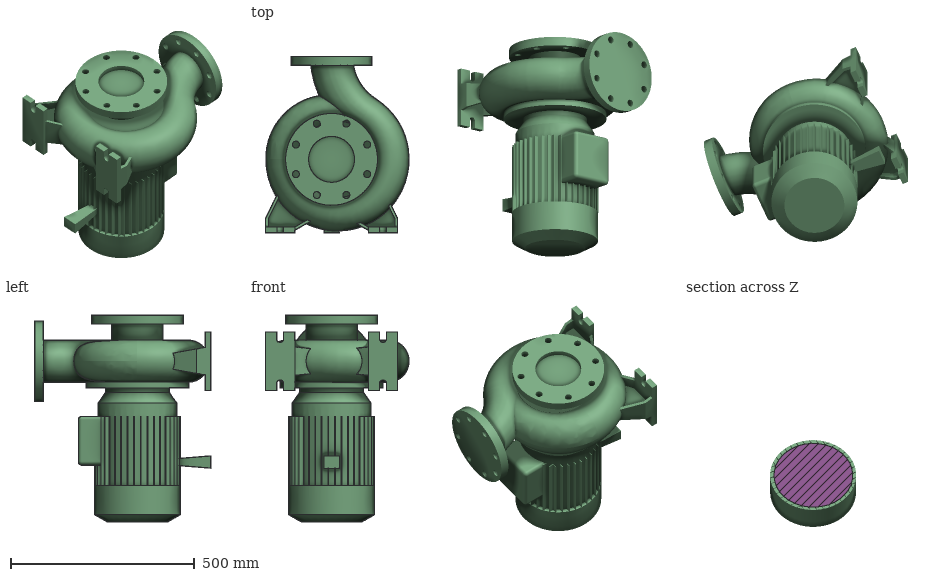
import math

import cadquery as cq


SUCTION_FACE_Z = 125.0
SUCTION_FLANGE_D = 250.0
SUCTION_FLANGE_T = 24.0
SUCTION_NECK_D = 140.0
SUCTION_BORE_D = 125.0
SUCTION_BORE_DEPTH = 15.0
SUCTION_BOLT_CIRCLE_D = 210.0

DISCHARGE_FACE_Y = 280.0
DISCHARGE_FLANGE_D = 220.0
DISCHARGE_FLANGE_T = 24.0
DISCHARGE_BOLT_CIRCLE_D = 180.0

BOLT_COUNT = 8
BOLT_HOLE_D = 19.0

DUCT_R = 57.5
VOLUTE_AXIS_X = 16.0
VOLUTE_BEND_R = 137.5
VOLUTE_WEB_R = 104.0
VOLUTE_WEB_TOP_Z = math.sqrt(DUCT_R**2 - (VOLUTE_BEND_R - VOLUTE_WEB_R) ** 2)

TAIL_START_BEND_R = VOLUTE_BEND_R - VOLUTE_AXIS_X
TAIL_END_BEND_R = 126.0
TAIL_END_DUCT_R = 46.0
TAIL_END_ANGLE = 65.0
TAIL_SECTIONS = 5

BACK_PLATE_R = 140.0
BACK_PLATE_TOP_Z = -56.5
BACK_PLATE_BOTTOM_Z = -72.5
LANTERN_R = 87.0
LANTERN_BOTTOM_Z = -85.0
MOTOR_CORE_R = 107.5
MOTOR_SHOULDER_Z = -114.5
MOTOR_R = 117.0
FIN_TOP_Z = -150.0
FIN_BOTTOM_Z = -339.0
COWL_CONE_Z = -418.0
MOTOR_END_R = 81.5
MOTOR_END_Z = -438.0

FIN_T = 2.0
FINS_PER_SIDE = 10
FIN_PITCH_ANGLE = 90.0 / FINS_PER_SIDE
FIN_ROOT_DEPTH = 3.0

BOX_WIDTH = 120.0
BOX_BACK_Y = 161.0
BOX_TOP_Z = FIN_TOP_Z
BOX_HEIGHT = 133.5
BOX_EDGE_R = 10.0

FOOT_BASE_Y = -200.0
FOOT_T = 16.0
FOOT_INNER_X = 100.0
FOOT_OUTER_X = 180.0
FOOT_HALF_HEIGHT = 80.0
FOOT_SLOT_W = 18.0
FOOT_SLOT_END_Z = 51.0

BRACKET_WALL_T = 8.0
BRACKET_WEB_T = 8.0
BRACKET_BEND_Y = -161.0
BRACKET_OUTER_ANGLE = 64.0
BRACKET_INNER_ANGLE = 30.0
BRACKET_OUTER_TOP_Y = -85.0
BRACKET_INNER_END_X = 55.0
BRACKET_BASE_HALF_HEIGHT = 37.5
BRACKET_TAPER = 0.178

STRUT_HALF_WIDTH = 21.0
STRUT_CENTRE_Z = -274.5
STRUT_END_HALF_HEIGHT = 17.0
STRUT_INNER_Y = -106.0
STRUT_NARROW_HALF_WIDTH = 13.0
STRUT_NARROW_HALF_HEIGHT = 9.5


def bolt_circle(plane, circle_d, depth):
    """Bolt holes straddling the flange centre lines, drilled along the plane's normal."""
    half_step = 180.0 / BOLT_COUNT
    return (
        cq.Workplane(plane)
        .polarArray(circle_d / 2, half_step, 360, BOLT_COUNT)
        .circle(BOLT_HOLE_D / 2)
        .extrude(depth)
    )


def make_suction():
    neck = cq.Workplane("XY").circle(SUCTION_NECK_D / 2).extrude(SUCTION_FACE_Z)
    flange_plane = cq.Plane((0, 0, SUCTION_FACE_Z), (1, 0, 0), (0, 0, -1))
    flange = cq.Workplane(flange_plane).circle(SUCTION_FLANGE_D / 2).extrude(SUCTION_FLANGE_T)
    holes = bolt_circle(flange_plane, SUCTION_BOLT_CIRCLE_D, SUCTION_FLANGE_T)
    bore = cq.Workplane(flange_plane).circle(SUCTION_BORE_D / 2).extrude(SUCTION_BORE_DEPTH)
    return neck.union(flange.cut(holes)), bore


def make_discharge_flange():
    plane = cq.Plane((0, DISCHARGE_FACE_Y, 0), (1, 0, 0), (0, -1, 0))
    flange = cq.Workplane(plane).circle(DISCHARGE_FLANGE_D / 2).extrude(DISCHARGE_FLANGE_T)
    return flange.cut(bolt_circle(plane, DISCHARGE_BOLT_CIRCLE_D, DISCHARGE_FLANGE_T))


def make_duct():
    """Constant round duct: half a turn of volute, then an S-bend ending square to the outlet."""
    start_x = VOLUTE_AXIS_X + VOLUTE_BEND_R
    radius_sum = (start_x**2 + DISCHARGE_FACE_Y**2) / (2 * start_x)
    outlet_bend_r = radius_sum - VOLUTE_BEND_R
    turn = math.degrees(math.asin(DISCHARGE_FACE_Y / radius_sum))

    volute = (
        cq.Workplane("XZ", origin=(VOLUTE_AXIS_X - VOLUTE_BEND_R, 0, 0))
        .circle(DUCT_R)
        .revolve(180 + turn, (VOLUTE_BEND_R, 0), (VOLUTE_BEND_R, 1))
    )
    outlet = (
        cq.Workplane("XZ", origin=(0, DISCHARGE_FACE_Y, 0))
        .circle(DUCT_R)
        .revolve(turn, (outlet_bend_r, 0), (outlet_bend_r, 1))
    )
    return volute.union(outlet)


def make_tail():
    """Shrinking round sections lofted around the shaft."""
    wires = []
    for i in range(TAIL_SECTIONS):
        part = i / (TAIL_SECTIONS - 1)
        angle = math.radians(180 + part * (TAIL_END_ANGLE - 180))
        bend_r = TAIL_START_BEND_R + part * (TAIL_END_BEND_R - TAIL_START_BEND_R)
        duct_r = DUCT_R + part**2 * (TAIL_END_DUCT_R - DUCT_R)
        centre = cq.Vector(bend_r * math.cos(angle), bend_r * math.sin(angle), 0)
        direction = cq.Vector(math.sin(angle), -math.cos(angle), 0)
        wires.append(cq.Wire.makeCircle(duct_r, centre, direction))
    return cq.Workplane(cq.Solid.makeLoft(wires))


def make_volute_web():
    return (
        cq.Workplane("XY", origin=(VOLUTE_AXIS_X, 0, BACK_PLATE_BOTTOM_Z))
        .circle(VOLUTE_WEB_R)
        .extrude(VOLUTE_WEB_TOP_Z - BACK_PLATE_BOTTOM_Z)
    )


def make_motor_body():
    return (
        cq.Workplane("XZ")
        .moveTo(0, BACK_PLATE_TOP_Z)
        .lineTo(BACK_PLATE_R, BACK_PLATE_TOP_Z)
        .lineTo(BACK_PLATE_R, BACK_PLATE_BOTTOM_Z)
        .lineTo(LANTERN_R, BACK_PLATE_BOTTOM_Z)
        .lineTo(LANTERN_R, LANTERN_BOTTOM_Z)
        .lineTo(MOTOR_CORE_R, MOTOR_SHOULDER_Z)
        .lineTo(MOTOR_CORE_R, FIN_BOTTOM_Z)
        .lineTo(MOTOR_R, FIN_BOTTOM_Z)
        .lineTo(MOTOR_R, COWL_CONE_Z)
        .lineTo(MOTOR_END_R, MOTOR_END_Z)
        .lineTo(0, MOTOR_END_Z)
        .close()
        .revolve(360, (0, 0), (0, 1))
    )


def make_fins():
    """Thin parallel fins on each of four sides, their tips evenly spaced by angle."""
    height = FIN_TOP_Z - FIN_BOTTOM_Z
    fins = cq.Workplane("XY")
    for i in range(FINS_PER_SIDE):
        angle = math.radians((i - (FINS_PER_SIDE - 1) / 2) * FIN_PITCH_ANGLE)
        offset = MOTOR_R * math.sin(angle)
        tip = MOTOR_R * math.cos(angle)
        root = math.sqrt(MOTOR_CORE_R**2 - offset**2) - FIN_ROOT_DEPTH
        length = tip - root
        fin = (
            cq.Workplane("XY", origin=(root + length / 2, offset, FIN_BOTTOM_Z))
            .rect(length, FIN_T)
            .extrude(height)
        )
        for side in range(4):
            fins = fins.add(fin.rotate((0, 0, 0), (0, 0, 1), 90 * side))
    return fins.combine()


def make_terminal_box():
    return (
        cq.Workplane("XY")
        .box(BOX_WIDTH, BOX_BACK_Y, BOX_HEIGHT, centered=(True, False, False))
        .translate((0, 0, BOX_TOP_Z - BOX_HEIGHT))
        .edges("|Y or >Y")
        .fillet(BOX_EDGE_R)
    )


def make_foot():
    """Right-hand foot plate with a slot open at its top and bottom edges."""
    width = FOOT_OUTER_X - FOOT_INNER_X
    centre_x = (FOOT_OUTER_X + FOOT_INNER_X) / 2
    plane = cq.Plane((centre_x, FOOT_BASE_Y, 0), (1, 0, 0), (0, -1, 0))
    plate = cq.Workplane(plane).rect(width, 2 * FOOT_HALF_HEIGHT).extrude(-FOOT_T)
    slot_length = 2 * FOOT_HALF_HEIGHT
    for side in (1, -1):
        slot = (
            cq.Workplane(plane)
            .center(0, side * (FOOT_SLOT_END_Z + slot_length / 2))
            .slot2D(slot_length, FOOT_SLOT_W, 90)
            .extrude(-FOOT_T)
        )
        plate = plate.cut(slot)
    return plate


def make_bracket():
    """Right-hand bracket: two walls and a mid web, its height tapering towards the volute."""
    back_y = FOOT_BASE_Y + FOOT_T
    outer_angle = math.radians(BRACKET_OUTER_ANGLE)
    inner_angle = math.radians(BRACKET_INNER_ANGLE)
    outer_top_x = FOOT_OUTER_X - (BRACKET_OUTER_TOP_Y - BRACKET_BEND_Y) / math.tan(outer_angle)
    inner_rise = (FOOT_INNER_X - BRACKET_INNER_END_X) * math.tan(inner_angle)
    wall_rise = BRACKET_WALL_T / math.cos(inner_angle)
    inner_y = back_y - wall_rise
    inner_end_y = inner_y + inner_rise
    slant_shift = BRACKET_WALL_T / math.sin(outer_angle)

    def prism(points, half_height):
        base = cq.Workplane("XY", origin=(0, 0, -half_height))
        return base.polyline(points).close().extrude(2 * half_height)

    outer_wall = [
        (FOOT_OUTER_X, back_y),
        (FOOT_OUTER_X, BRACKET_BEND_Y),
        (outer_top_x, BRACKET_OUTER_TOP_Y),
        (outer_top_x - slant_shift, BRACKET_OUTER_TOP_Y),
        (FOOT_OUTER_X - BRACKET_WALL_T, BRACKET_BEND_Y),
        (FOOT_OUTER_X - BRACKET_WALL_T, back_y),
    ]
    inner_wall = [
        (FOOT_INNER_X, inner_y),
        (FOOT_INNER_X, back_y),
        (BRACKET_INNER_END_X, inner_end_y + wall_rise),
        (BRACKET_INNER_END_X, inner_end_y),
    ]
    web = [
        (FOOT_INNER_X, back_y),
        (FOOT_OUTER_X - BRACKET_WALL_T, back_y),
        (FOOT_OUTER_X - BRACKET_WALL_T, BRACKET_BEND_Y),
        (outer_top_x - slant_shift, BRACKET_OUTER_TOP_Y),
        (BRACKET_INNER_END_X, inner_end_y + wall_rise),
    ]

    walls = prism(outer_wall, FOOT_HALF_HEIGHT).union(prism(inner_wall, FOOT_HALF_HEIGHT))
    end_half = BRACKET_BASE_HALF_HEIGHT - BRACKET_TAPER * (BRACKET_OUTER_TOP_Y - back_y)
    front_half = BRACKET_BASE_HALF_HEIGHT + BRACKET_TAPER * FOOT_T
    envelope = (
        cq.Workplane("YZ")
        .polyline(
            [
                (FOOT_BASE_Y, -front_half),
                (BRACKET_OUTER_TOP_Y, -end_half),
                (BRACKET_OUTER_TOP_Y, end_half),
                (FOOT_BASE_Y, front_half),
            ]
        )
        .close()
        .extrude(FOOT_OUTER_X)
    )
    return walls.intersect(envelope).union(prism(web, BRACKET_WEB_T / 2))


def make_strut():
    return (
        cq.Workplane("XZ", origin=(0, FOOT_BASE_Y, STRUT_CENTRE_Z))
        .rect(2 * STRUT_HALF_WIDTH, 2 * STRUT_END_HALF_HEIGHT)
        .workplane(offset=FOOT_BASE_Y - STRUT_INNER_Y)
        .rect(2 * STRUT_NARROW_HALF_WIDTH, 2 * STRUT_NARROW_HALF_HEIGHT)
        .loft(ruled=True)
    )


suction, suction_bore = make_suction()
right_foot = make_foot().union(make_bracket())
left_foot = right_foot.mirror("YZ")

result = (
    make_duct()
    .union(make_tail())
    .union(make_volute_web())
    .union(make_discharge_flange())
    .union(suction)
    .union(make_motor_body())
    .union(make_fins())
    .union(make_terminal_box())
    .union(right_foot)
    .union(left_foot)
    .union(make_strut())
    .cut(suction_bore)
)